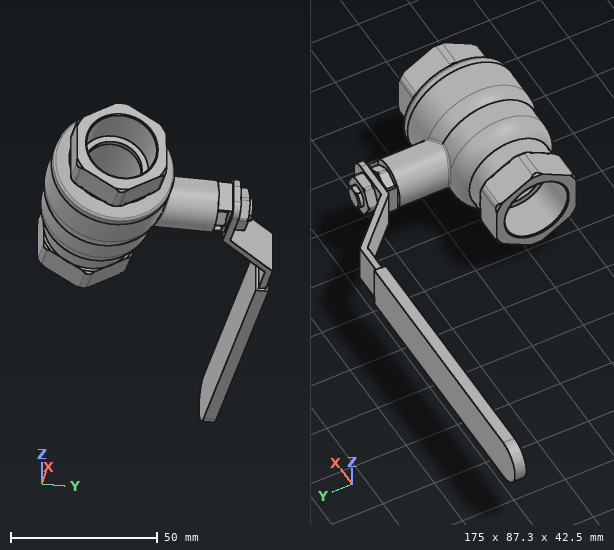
import cadquery as cq
import math

AXIS_X = ((0, 0, 0), (1, 0, 0))
AXIS_Y = ((0, 0, 0), (0, 1, 0))

VALVE_LENGTH = 70.0
END_HEX_FLATS = 31.2
END_HEX_LENGTH = 11.6
END_HEX_CORNER_FILLET = 2.5
END_HEX_FACE_RADIUS = 16.8
NECK_RADIUS = 15.75
FRONT_RADIUS = 19.6
REAR_RADIUS = 21.25
FRONT_BULGE_START = -15.9
FRONT_BULGE_END = -8.3
REAR_BULGE_START = 0.0
REAR_BULGE_END = 6.0
CAP_JOINT = 18.1
CAP_CONE_START = 21.2
CAP_CONE_ANGLE = 67.0
CAP_FILLET = 1.3
BORE_RADIUS = 10.0
SOCKET_RADIUS = 12.2
SOCKET_DEPTH = 15.0
SOCKET_CHAMFER = 0.4

HOUSING_RADIUS = 9.0
HOUSING_TOP = 39.0
HOUSING_FILLET = 0.6

NUT_FLATS = 13.0
NUT_HEIGHT = 3.8
NUT_CORNER_FILLET = 1.0
NUT_FACE_RADIUS = 7.0

STEM_DIAMETER = 8.0
STEM_FLATS = 7.0
STEM_CHAMFER = 0.5
STEM_TIP = 52.3
STOP_LENGTH = 15.0
STOP_WIDTH = 11.2

LEVER_SEAT = 44.0
LEVER_THICKNESS = 2.5
LEVER_WIDTH = 15.0
LEVER_END = 10.0
LEVER_CORNER_FILLET = 4.5
LEVER_LOWER_BEND = -10.3
LEVER_RISE = 18.5
LEVER_BEND_ANGLE = 45.0
GRIP_START = -40.0
GRIP_END = -140.0
GRIP_WIDTH = 17.0
GRIP_THICKNESS = 4.5

SELECTION_MARGIN = 1.0

HALF_LENGTH = VALVE_LENGTH / 2
END_HEX_INNER = HALF_LENGTH - END_HEX_LENGTH
STEM_LENGTH = STEM_TIP - HOUSING_TOP
LEVER_TOP = LEVER_SEAT + LEVER_THICKNESS


def chamfered_hexagon(flats, height, corner_fillet, face_radius):
    """Hexagon along +Z with a corner on +X, rounded corners and 45 degree cones at both ends."""
    corner_diameter = flats / math.cos(math.radians(30))
    corner_radius = corner_diameter / 2
    envelope = (
        cq.Workplane("XY")
        .circle(corner_radius)
        .extrude(height)
        .faces("<Z or >Z")
        .chamfer(corner_radius - face_radius)
    )
    return (
        cq.Workplane("XY")
        .polygon(6, corner_diameter)
        .extrude(height)
        .edges("|Z")
        .fillet(corner_fillet)
        .intersect(envelope)
    )


def end_hexagon():
    """Wrench hexagon along +X, with a corner on +Z, starting at the YZ plane."""
    hexagon = chamfered_hexagon(END_HEX_FLATS, END_HEX_LENGTH, END_HEX_CORNER_FILLET, END_HEX_FACE_RADIUS)
    return hexagon.rotate(*AXIS_Y, 90)


def small_hexagon(base, turn):
    """Nut-sized hexagon along +Y on the height base, turned about the stem axis."""
    hexagon = chamfered_hexagon(NUT_FLATS, NUT_HEIGHT, NUT_CORNER_FILLET, NUT_FACE_RADIUS)
    return hexagon.rotate(*AXIS_X, -90).rotate(*AXIS_Y, turn).translate((0, base, 0))


def flow_passage():
    """Through bore with a wider, chamfered pipe socket at its +X end."""
    socket_floor = HALF_LENGTH - SOCKET_DEPTH
    return (
        cq.Workplane("XY")
        .polyline([
            (-HALF_LENGTH, 0),
            (-HALF_LENGTH, BORE_RADIUS),
            (socket_floor, BORE_RADIUS),
            (socket_floor, SOCKET_RADIUS),
            (HALF_LENGTH - SOCKET_CHAMFER, SOCKET_RADIUS),
            (HALF_LENGTH, SOCKET_RADIUS + SOCKET_CHAMFER),
            (HALF_LENGTH, 0),
        ])
        .close()
        .revolve(360, *AXIS_X)
    )


def tangent_arc_midpoint(start, end):
    """Midpoint of the arc from start to end that runs parallel to X at end."""
    run = end[0] - start[0]
    rise = end[1] - start[1]
    radius = (run**2 + rise**2) / (2 * rise)
    half_angle = math.atan2(rise, run)
    return (end[0] - radius * math.sin(half_angle), end[1] - radius * (1 - math.cos(half_angle)))


def body_barrel():
    """Turned shape from the end hexagon to the cap joint, with two rounded steps."""
    front_start = (FRONT_BULGE_START, NECK_RADIUS)
    front_end = (FRONT_BULGE_END, FRONT_RADIUS)
    rear_start = (REAR_BULGE_START, FRONT_RADIUS)
    rear_end = (REAR_BULGE_END, REAR_RADIUS)
    return (
        cq.Workplane("XY")
        .moveTo(-END_HEX_INNER, 0)
        .lineTo(-END_HEX_INNER, NECK_RADIUS)
        .lineTo(*front_start)
        .threePointArc(tangent_arc_midpoint(front_start, front_end), front_end)
        .lineTo(*rear_start)
        .threePointArc(tangent_arc_midpoint(rear_start, rear_end), rear_end)
        .lineTo(CAP_JOINT, REAR_RADIUS)
        .lineTo(CAP_JOINT, 0)
        .close()
        .revolve(360, *AXIS_X)
    )


def make_body():
    barrel = body_barrel()
    housing = cq.Workplane("XZ").circle(HOUSING_RADIUS).extrude(-HOUSING_TOP)
    reach = HOUSING_RADIUS + SELECTION_MARGIN
    root = cq.selectors.BoxSelector(
        (-reach, NECK_RADIUS, -reach),
        (reach, REAR_RADIUS + SELECTION_MARGIN, reach),
        boundingbox=True,
    )
    body = barrel.union(housing).edges(root).fillet(HOUSING_FILLET)
    body = body.union(end_hexagon().translate((-HALF_LENGTH, 0, 0)))
    return body.cut(flow_passage().mirror("YZ"))


def make_cap():
    """Flange with a rounded cone that runs into the second end hexagon."""
    cone_drop = (END_HEX_INNER - CAP_CONE_START) * math.tan(math.radians(CAP_CONE_ANGLE))
    flange = (
        cq.Workplane("XY")
        .polyline([
            (CAP_JOINT, 0),
            (CAP_JOINT, REAR_RADIUS),
            (CAP_CONE_START, REAR_RADIUS),
            (END_HEX_INNER, REAR_RADIUS - cone_drop),
            (END_HEX_INNER, 0),
        ])
        .close()
        .revolve(360, *AXIS_X)
    )
    reach = REAR_RADIUS + SELECTION_MARGIN
    rim = cq.selectors.BoxSelector(
        (CAP_JOINT + CAP_FILLET, -reach, -reach),
        (END_HEX_INNER - CAP_FILLET, reach, reach),
        boundingbox=True,
    )
    flange = flange.edges(rim).fillet(CAP_FILLET)
    cap = flange.union(end_hexagon().translate((END_HEX_INNER, 0, 0)))
    return cap.cut(flow_passage())


def stem_rod():
    """Chamfered double-D rod from the housing to the stem tip."""
    flats = cq.Workplane("XY").box(STEM_DIAMETER, STEM_LENGTH, STEM_FLATS)
    return (
        cq.Workplane("XZ", origin=(0, HOUSING_TOP, 0))
        .circle(STEM_DIAMETER / 2)
        .extrude(-STEM_LENGTH)
        .faces(">Y")
        .chamfer(STEM_CHAMFER)
        .intersect(flats.translate((0, HOUSING_TOP + STEM_LENGTH / 2, 0)))
    )


def stop_bridge():
    """Plate under the lever with two legs that straddle the stem hexagon."""
    height = LEVER_SEAT - HOUSING_TOP
    bridge = cq.Workplane("XY").box(STOP_LENGTH, height, STOP_WIDTH)
    bridge = bridge.translate((0, HOUSING_TOP + height / 2, 0))
    gap = cq.Workplane("XY").box(NUT_FLATS, NUT_HEIGHT, STOP_WIDTH)
    return bridge.cut(gap.translate((0, HOUSING_TOP + NUT_HEIGHT / 2, 0)))


def make_stem():
    return stop_bridge().union(small_hexagon(HOUSING_TOP, 90)).union(stem_rod())


def make_nut():
    bore = cq.Workplane("XZ", origin=(0, LEVER_TOP, 0)).circle(STEM_DIAMETER / 2).extrude(-NUT_HEIGHT)
    return small_hexagon(LEVER_TOP, 0).cut(bore)


def make_lever(stem):
    """Bent strip with rounded corners at the stem, a round free end and a hole that fits the stem."""
    mitre = LEVER_THICKNESS * math.tan(math.radians(LEVER_BEND_ANGLE / 2))
    upper_bend = LEVER_LOWER_BEND - LEVER_RISE / math.tan(math.radians(LEVER_BEND_ANGLE))
    tip = GRIP_END + (GRIP_WIDTH - LEVER_WIDTH) / 2
    strip = (
        cq.Workplane("XY")
        .polyline([
            (LEVER_END, LEVER_SEAT),
            (LEVER_LOWER_BEND, LEVER_SEAT),
            (upper_bend, LEVER_SEAT + LEVER_RISE),
            (tip, LEVER_SEAT + LEVER_RISE),
            (tip, LEVER_TOP + LEVER_RISE),
            (upper_bend + mitre, LEVER_TOP + LEVER_RISE),
            (LEVER_LOWER_BEND + mitre, LEVER_TOP),
            (LEVER_END, LEVER_TOP),
        ])
        .close()
        .extrude(LEVER_WIDTH / 2, both=True)
    )
    half = LEVER_WIDTH / 2
    outline = (
        cq.Workplane("XZ")
        .moveTo(tip + half, -half)
        .lineTo(LEVER_END, -half)
        .lineTo(LEVER_END, half)
        .lineTo(tip + half, half)
        .threePointArc((tip, 0), (tip + half, -half))
        .close()
        .extrude(-LEVER_TOP - LEVER_RISE)
        .faces(">X")
        .edges("|Y")
        .fillet(LEVER_CORNER_FILLET)
    )
    return strip.intersect(outline).cut(stem)


def make_grip(lever):
    """Round-ended sleeve around the free end of the lever."""
    middle = LEVER_SEAT + LEVER_RISE + LEVER_THICKNESS / 2
    half = GRIP_WIDTH / 2
    grip = (
        cq.Workplane("XZ", origin=(0, middle, 0))
        .moveTo(GRIP_START, -half)
        .lineTo(GRIP_START, half)
        .lineTo(GRIP_END + half, half)
        .threePointArc((GRIP_END, 0), (GRIP_END + half, -half))
        .close()
        .extrude(GRIP_THICKNESS / 2, both=True)
    )
    return grip.cut(lever)


body = make_body()
cap = make_cap()
stem = make_stem()
nut = make_nut()
lever = make_lever(stem)
grip = make_grip(lever)

result = cq.Compound.makeCompound(
    [body.val(), cap.val(), stem.val(), nut.val(), lever.val(), grip.val()]
)